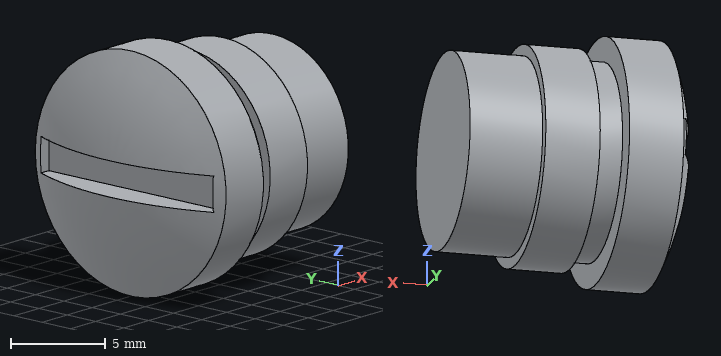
import cadquery as cq
import math

head_radius = 6.75
dome_radius = 15.0
head_length = 3.0
neck_radius = 5.37
neck_length = 1.4
collar_radius = 6.0
collar_length = 3.0
tail_length = 4.0

slot_length = 12.18
slot_width = 2.0
slot_floor_x = 0.35

dome_height = dome_radius - math.sqrt(dome_radius**2 - head_radius**2)


def disc(start_x, length, radius):
    """Cylinder along +X starting at start_x."""
    return cq.Workplane("YZ").workplane(offset=start_x).circle(radius).extrude(length)


def domed_head():
    """Head rim with a spherical crown on its -X side."""
    dome_mid_radius = head_radius / 2
    dome_mid_x = dome_radius - dome_height - math.sqrt(dome_radius**2 - dome_mid_radius**2)
    return (
        cq.Workplane("XY")
        .moveTo(-dome_height, 0)
        .threePointArc((dome_mid_x, dome_mid_radius), (0, head_radius))
        .lineTo(head_length, head_radius)
        .lineTo(head_length, 0)
        .close()
        .revolve(360, (0, 0, 0), (1, 0, 0))
    )


def driver_slot():
    """Rectangular cutter reaching from the dome apex down to the slot floor."""
    return cq.Workplane("XY").box(
        slot_floor_x + dome_height, slot_length, slot_width, centered=(False, True, True)
    ).translate((-dome_height, 0, 0))


collar_start = head_length + neck_length
shank_length = neck_length + collar_length + tail_length

result = (
    domed_head()
    .union(disc(head_length, shank_length, neck_radius))
    .union(disc(collar_start, collar_length, collar_radius))
    .cut(driver_slot())
)